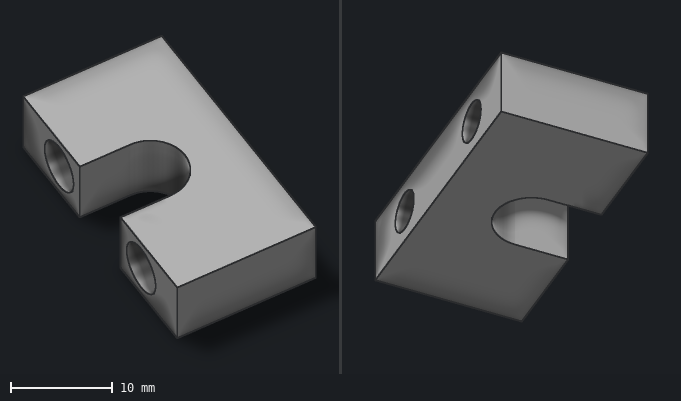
import cadquery as cq

length = 29.72
depth = 15.87
height = 7.37

slot_width = 7.85
slot_reach = 9.7

hole_spacing = 15.8
hole_diameter = 4.4
counterbore_diameter = 5.6
counterbore_depth = 10.0


def make_block():
    """Block centred on X and Z, with its front face at Y = 0."""
    return cq.Workplane("XY").box(length, depth, height, centered=(True, False, True))


def make_slot():
    """Slot cutter through the full height, with a half-round inner end."""
    radius = slot_width / 2
    straight_end = slot_reach - radius
    return (
        cq.Workplane("XY")
        .moveTo(-radius, 0)
        .lineTo(-radius, straight_end)
        .threePointArc((0, slot_reach), (radius, straight_end))
        .lineTo(radius, 0)
        .close()
        .extrude(height / 2, both=True)
    )


def drill_holes(body):
    """Through holes, counterbored from the front face."""
    half_spacing = hole_spacing / 2
    return (
        body.faces("<Y")
        .workplane(origin=(0, 0, 0))
        .pushPoints([(-half_spacing, 0), (half_spacing, 0)])
        .cboreHole(hole_diameter, counterbore_diameter, counterbore_depth)
    )


result = drill_holes(make_block().cut(make_slot()))